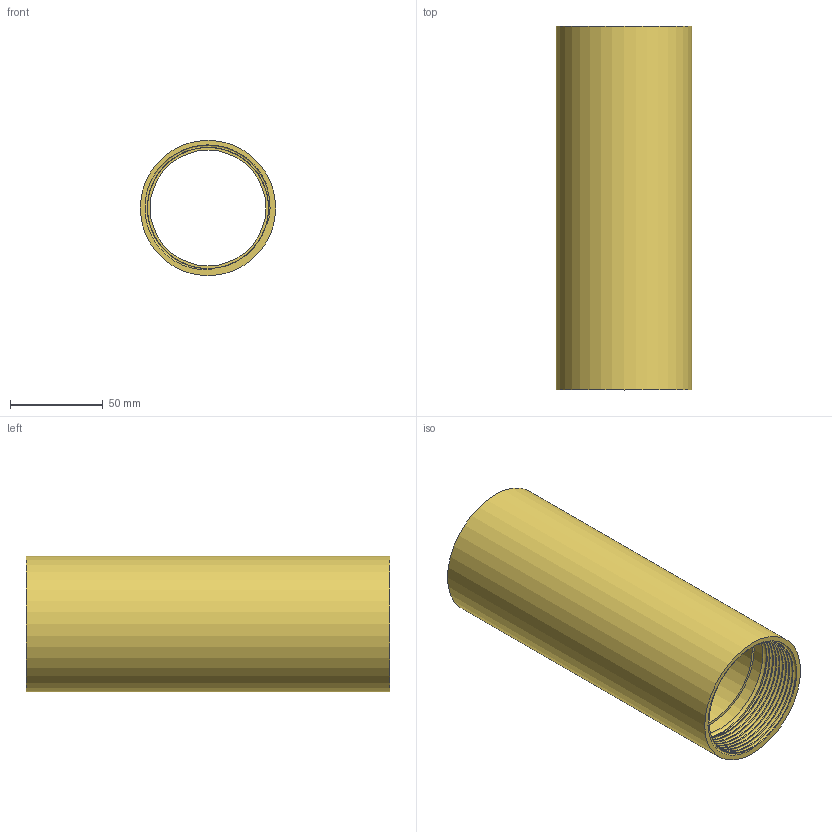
import cadquery as cq
length = 196.0
outer_radius = 36.5
bore_radius = 31.2

socket_radius = 32.65
socket_depth = 31.5

thread_pitch = 2.5
thread_turns = 10
thread_root_radius = 34.0
groove_radius = 1.0
groove_start = -1.6

runout_radius = 1.5
runout_centre_depth = groove_start + thread_turns * thread_pitch

mouth_y = -length / 2


def along_axis(part):
    """Turn a part modelled along +Z onto the tube axis, its base at the mouth."""
    return part.rotate((0, 0, 0), (1, 0, 0), -90).translate((0, mouth_y, 0))


def tube_body():
    """Revolved wall of the tube with its stepped bore, modelled along +Z."""
    wall = cq.Workplane("YZ").polyline(
        [
            (outer_radius, 0),
            (socket_radius, 0),
            (socket_radius, socket_depth),
            (bore_radius, socket_depth),
            (bore_radius, length),
            (outer_radius, length),
        ]
    ).close()
    return wall.revolve(360, (0, 0, 0), (0, 1, 0))


def thread_groove():
    """Helical cutter of round section, modelled along +Z and starting at +X."""
    centre_radius = thread_root_radius - groove_radius
    helix = cq.Wire.makeHelix(thread_pitch, thread_turns * thread_pitch, centre_radius)
    section = cq.Workplane("XZ").center(centre_radius, 0).circle(groove_radius)
    groove = section.sweep(cq.Workplane(helix), isFrenet=True)
    groove = groove.translate((0, 0, groove_start))
    return groove.intersect(cq.Workplane("XY").circle(outer_radius).extrude(length))


def runout_groove():
    """Ring cutter of round section, as deep as the thread, modelled along +Z."""
    centre_radius = thread_root_radius - runout_radius
    section = cq.Workplane("YZ").center(centre_radius, runout_centre_depth).circle(runout_radius)
    return section.revolve(360, (-centre_radius, 0, 0), (-centre_radius, 1, 0))


result = along_axis(tube_body().cut(thread_groove()).cut(runout_groove()))